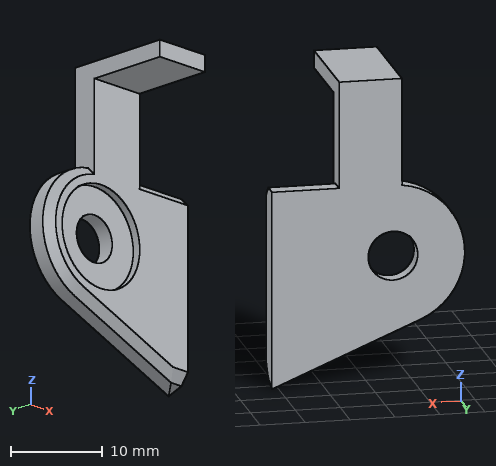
import cadquery as cq
import math

plate_thickness = 3.0
edge_chamfer = 1.0
round_radius = 8.0
right_x = 13.5
bottom_z = -14.3

strap_left_x = -1.0
strap_width = 7.0
strap_top_z = 20.0
lip_reach = 13.0
lip_thickness = 2.0

bore_diameter = 5.5
recess_diameter = 12
recess_depth = 1.0

bevel_middle_z = -13.63
bevel_front_z = -12.25


def rounded_plate():
    """Plate with a round end and a sloping underside tangent to that round."""
    corner_distance = math.hypot(right_x, bottom_z)
    corner_angle = math.atan2(bottom_z, right_x)
    tangent_angle = corner_angle - math.acos(round_radius / corner_distance)
    tangent_x = round_radius * math.cos(tangent_angle)
    tangent_z = round_radius * math.sin(tangent_angle)
    plate = (
        cq.Workplane("XZ")
        .moveTo(right_x, bottom_z)
        .lineTo(right_x, round_radius)
        .lineTo(0, round_radius)
        .threePointArc((-round_radius, 0), (tangent_x, tangent_z))
        .close()
        .extrude(plate_thickness)
    )
    return plate.faces("<Y").edges("not(>X)").chamfer(edge_chamfer)


def bottom_bevel():
    """Wedge that bevels the bottom corner in two steps, along the whole X length."""
    middle_y = edge_chamfer - plate_thickness
    return (
        cq.Workplane("YZ")
        .polyline([
            (0, bottom_z),
            (middle_y, bevel_middle_z),
            (-plate_thickness, bevel_front_z),
            (-plate_thickness, bottom_z),
        ])
        .close()
        .extrude(right_x)
    )


def strap_with_lip():
    """Upright strap rising from the plate, with a lip folded toward -Y at its top."""
    return (
        cq.Workplane("YZ", origin=(strap_left_x, 0, 0))
        .polyline([
            (0, 0),
            (0, strap_top_z),
            (-lip_reach, strap_top_z),
            (-lip_reach, strap_top_z - lip_thickness),
            (-plate_thickness, strap_top_z - lip_thickness),
            (-plate_thickness, 0),
        ])
        .close()
        .extrude(strap_width)
    )


def round_cut(diameter, depth):
    """Cylinder on the bore axis, sunk to the given depth from the front face."""
    return (
        cq.Workplane("XZ", origin=(0, depth - plate_thickness, 0))
        .circle(diameter / 2)
        .extrude(depth)
    )


result = (
    rounded_plate()
    .cut(bottom_bevel())
    .union(strap_with_lip())
    .cut(round_cut(recess_diameter, recess_depth))
    .cut(round_cut(bore_diameter, plate_thickness))
)